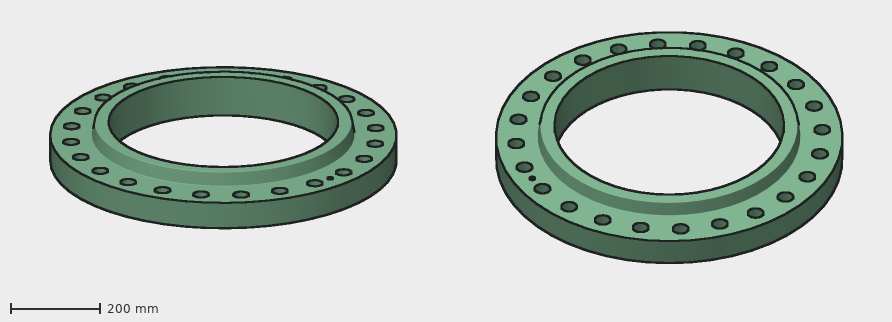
import cadquery as cq
import math

flange_diameter = 774.7
flange_thickness = 61.98
bore_diameter = 513.1

overall_height = 93.73
hub_base_diameter = 587.25
hub_top_diameter = 575.5
hub_edge_radius = 1.5

bolt_count = 24
bolt_circle_diameter = 685.8
bolt_hole_diameter = 34.925

small_hole_angle = 360 / bolt_count / 2
small_hole_diameter = 7
small_hole_depth = 12
counterbore_diameter = 12
counterbore_depth = 1


def flange():
    """Flat disc with its bottom face on Z = 0."""
    return cq.Workplane("XY").circle(flange_diameter / 2).extrude(flange_thickness)


def hub():
    """Conical hub rising from the flange face."""
    hub_height = overall_height - flange_thickness
    taper_angle = math.degrees(math.atan((hub_base_diameter - hub_top_diameter) / 2 / hub_height))
    return (
        cq.Workplane("XY", origin=(0, 0, flange_thickness))
        .circle(hub_base_diameter / 2)
        .extrude(hub_height, taper=taper_angle)
    )


def rounded_body():
    """Flange and hub joined, with the hub's top and base edges rounded."""
    body = flange().union(hub())
    body = body.faces(">Z").edges().fillet(hub_edge_radius)
    flange_upper_face = body.faces("|Z").faces(">Z[-2]")
    smallest_circle = cq.selectors.RadiusNthSelector(0)
    return flange_upper_face.edges(smallest_circle).fillet(hub_edge_radius)


def bore():
    """Straight bore through the full height."""
    return cq.Workplane("XY").circle(bore_diameter / 2).extrude(overall_height)


def bolt_holes():
    """Through holes evenly spaced on the bolt circle, the first one on +X."""
    return (
        cq.Workplane("XY")
        .polarArray(bolt_circle_diameter / 2, 0, 360, bolt_count)
        .circle(bolt_hole_diameter / 2)
        .extrude(flange_thickness)
    )


def small_hole():
    """Blind hole with a shallow counterbore, sunk from the flange's upper face."""
    angle = math.radians(small_hole_angle)
    center_x = bolt_circle_diameter / 2 * math.cos(angle)
    center_y = bolt_circle_diameter / 2 * math.sin(angle)
    upper_face = cq.Workplane("XY", origin=(center_x, center_y, flange_thickness))
    hole = upper_face.circle(small_hole_diameter / 2).extrude(-small_hole_depth)
    counterbore = upper_face.circle(counterbore_diameter / 2).extrude(-counterbore_depth)
    return hole.union(counterbore)


result = rounded_body().cut(bore()).cut(bolt_holes()).cut(small_hole())